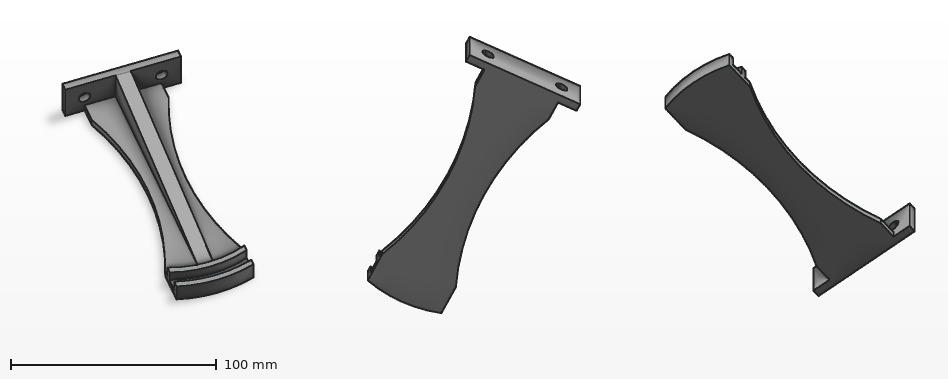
import cadquery as cq

length = 134.5
plate_width = 60.0
plate_height = 20.0
thickness = 4.0

hole_diameter = 6.0
hole_spacing = 40.0

arm_width = 40.0
waist_width = 20.0
waist_start = 14.0
waist_end = 115.5
end_radius = 68.0

rib_width = 8.0
rib_end = 118.9

rail_thickness = 3.0
rail_gap = 6.0
rail_top = plate_height / 2

end_center = length - end_radius
waist_middle = (waist_start + waist_end) / 2


def end_disc(radius, height):
    """Cylinder about the centre of the rounded end, standing on Z = 0."""
    return cq.Workplane("XY").center(end_center, 0).circle(radius).extrude(height)


def make_plate():
    plate = cq.Workplane("XY").box(thickness, plate_width, plate_height, centered=(False, True, False))
    holes = (
        cq.Workplane("YZ")
        .pushPoints([(side * hole_spacing / 2, plate_height / 2) for side in (-1, 1)])
        .circle(hole_diameter / 2)
        .extrude(thickness)
    )
    return plate.cut(holes)


def make_arm():
    half_arm = arm_width / 2
    half_waist = waist_width / 2
    blank = (
        cq.Workplane("XY")
        .moveTo(0, -half_arm)
        .lineTo(waist_start, -half_arm)
        .threePointArc((waist_middle, -half_waist), (waist_end, -half_arm))
        .lineTo(length, -half_arm)
        .lineTo(length, half_arm)
        .lineTo(waist_end, half_arm)
        .threePointArc((waist_middle, half_waist), (waist_start, half_arm))
        .lineTo(0, half_arm)
        .close()
        .extrude(thickness)
    )
    return blank.intersect(end_disc(end_radius, thickness))


def make_rib():
    return (
        cq.Workplane("XZ")
        .polyline([(0, 0), (rib_end, 0), (rib_end, thickness), (thickness, plate_height), (0, plate_height)])
        .close()
        .extrude(rib_width / 2, both=True)
    )


def make_rail(outer_radius):
    ring = end_disc(outer_radius, rail_top).cut(end_disc(outer_radius - rail_thickness, rail_top))
    far_end = (
        cq.Workplane("XY")
        .box(length - end_center, arm_width, rail_top, centered=(False, True, False))
        .translate((end_center, 0, 0))
    )
    return ring.intersect(far_end)


result = make_plate().union(make_arm()).union(make_rib())
for rail_radius in (end_radius, end_radius - rail_thickness - rail_gap):
    result = result.union(make_rail(rail_radius))